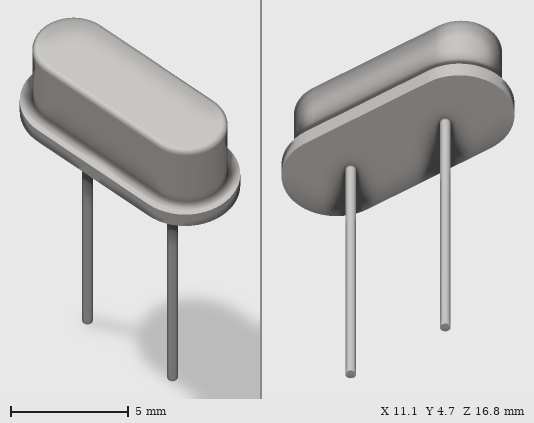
import cadquery as cq

total_height = 16.8
lead_length = 12.7

flange_length = 11.05
flange_width = 4.7
flange_thickness = 0.72

can_length = 10.01
can_width = 3.51
edge_radius = 0.24

lead_diameter = 0.45
lead_spacing = 4.89

flange_top = lead_length + flange_thickness
can_height = total_height - flange_top


def stadium_block(length, width, height, bottom):
    """Upright block with straight long sides and semicircular ends."""
    return cq.Workplane("XY").workplane(offset=bottom).slot2D(length, width).extrude(height)


def make_housing():
    """Flange and can as one solid, with a rounded top edge and a filleted foot."""
    flange = stadium_block(flange_length, flange_width, flange_thickness, lead_length)
    can = stadium_block(can_length, can_width, can_height, flange_top)
    can = can.faces(">Z").edges().fillet(edge_radius)
    foot_edges = cq.selectors.BoxSelector(
        (-can_length / 2 - edge_radius, -can_width / 2 - edge_radius, flange_top - edge_radius),
        (can_length / 2 + edge_radius, can_width / 2 + edge_radius, flange_top + edge_radius),
        boundingbox=True,
    )
    return flange.union(can).edges(foot_edges).fillet(edge_radius)


def make_lead(x):
    """Straight round wire standing under the flange at the given X."""
    return cq.Workplane("XY").center(x, 0).circle(lead_diameter / 2).extrude(lead_length)


housing = make_housing()

leads = []
for side in (-1, 1):
    leads.append(make_lead(side * lead_spacing / 2).val())

result = cq.Compound.makeCompound([housing.val(), *leads])